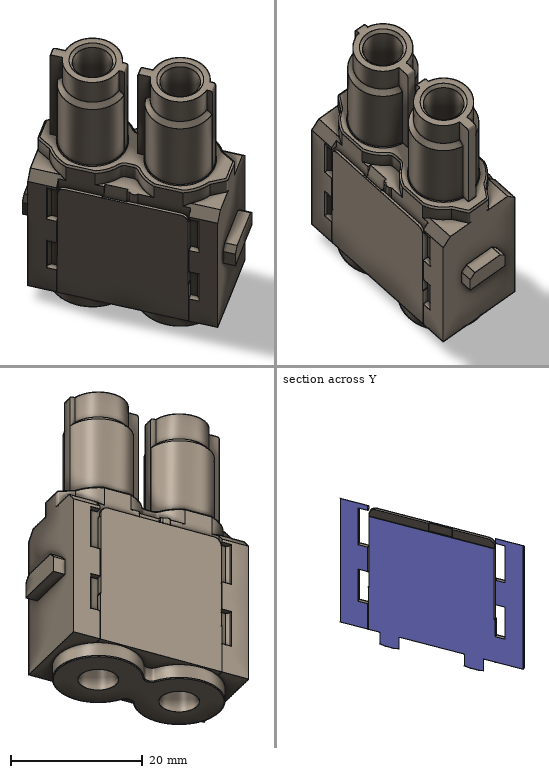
import cadquery as cq
import math

BODY_LENGTH = 30.25
BODY_DEPTH = 14.6
BODY_BOTTOM = 2.4
LEDGE_Z = 27.55
EDGE_SLOPE_DEPTH = 1.45
EDGE_SLOPE_HEIGHT = 1.55
SHOULDER_Z = LEDGE_Z - EDGE_SLOPE_HEIGHT

TUBE_PITCH = 13.95
TUBE_OFFSET = TUBE_PITCH / 2
TOP_Z = 48.3
TUBE_DIAMETER = 10.75
NOSE_DIAMETER = 9.2
NOSE_BOTTOM = 43.85
NOSE_STEP = (TUBE_DIAMETER - NOSE_DIAMETER) / 2
TUBE_FOOT = 0.15
BORE_DIAMETER = 6.2
BORE_CHAMFER = 0.5
LONG_KEY_REACH = 6.55
LONG_KEY_WIDTH = 1.5
SHORT_KEY_WIDTH = 1.8
KEY_ROUND = 0.5

COLLAR_TOP = 30.35
COLLAR_DIAMETER = 13.48
COLLAR_RADIUS = COLLAR_DIAMETER / 2
COLLAR_HALF_DEPTH = 6.35
COLLAR_EDGE = 0.3
WAIST_ROUND = 1.2
WAIST_HALF_FLAT = 0.55
NECK_X = 12.75
END_HALF_WIDTH = 2.0
END_ROUND = 0.6

BARREL_RADIUS = 7.0
BARREL_EDGE = 0.15

RECESS_HALF_LENGTH = 10.55
PANEL_HALF_LENGTH = 10.4
PANEL_FOOT_HALF_LENGTH = 10.5
PANEL_FOOT_TOP = 10.65
PANEL_CORNER = 1.2
PANEL_LIP = 0.45
GROOVE_DEPTH = 1.55

WINDOW_SPANS = ((7.45, 13.55), (18.4, 25.45))
WINDOW_OUTER_X = 12.1
WINDOW_BEVEL = 0.5

RAMP_START_X = -3.25
RAMP_END_X = 0.4
RAMP_DEPTH = 0.5
RAMP_CLEARANCE = 0.15
PIN_DIAMETER = 1.7
PIN_X = 1.5
PIN_INSET = 0.55

LUG_REACH = 2.0
LUG_BOTTOM = 14.05
LUG_TOP = 17.65
LEFT_LUG_WIDTH = 7.1
RIGHT_LUG_WIDTH = 9.0
LUG_CHAMFER = 0.95

HALF_LENGTH = BODY_LENGTH / 2
HALF_DEPTH = BODY_DEPTH / 2
GROOVE_BOTTOM = SHOULDER_Z - GROOVE_DEPTH
PANEL_BACK = HALF_DEPTH - PANEL_LIP


def span_box(x_span, y_span, z_span):
    """Box given by its limits along each axis."""
    sizes = [high - low for low, high in (x_span, y_span, z_span)]
    corner = (x_span[0], y_span[0], z_span[0])
    return cq.Workplane("XY").box(*sizes, centered=False).translate(corner)


def on_both_faces(feature):
    """The feature together with its copy turned half a turn about Z."""
    return feature.union(feature.rotate((0, 0, 0), (0, 0, 1), 180))


def twin_rounds(radius, bottom, top, waist_half_flat):
    """Two cylinders on the tube axes, joined by a waist with concave rounds."""
    center_y = math.sqrt((radius + WAIST_ROUND) ** 2 - (TUBE_OFFSET - waist_half_flat) ** 2)
    waist_y = center_y - WAIST_ROUND
    share = radius / (radius + WAIST_ROUND)
    tangent_x = TUBE_OFFSET - (TUBE_OFFSET - waist_half_flat) * share
    tangent_y = center_y * share
    start_angle = math.atan2(tangent_y - center_y, tangent_x - waist_half_flat)
    middle_angle = (start_angle - math.pi / 2) / 2
    middle_x = waist_half_flat + WAIST_ROUND * math.cos(middle_angle)
    middle_y = center_y + WAIST_ROUND * math.sin(middle_angle)

    outline = cq.Workplane("XY", origin=(0, 0, bottom)).moveTo(tangent_x, -tangent_y)
    for side in (1, -1):
        outline = outline.lineTo(side * tangent_x, side * tangent_y)
        outline = outline.threePointArc(
            (side * middle_x, side * middle_y), (side * waist_half_flat, side * waist_y)
        )
        if waist_half_flat > 0:
            outline = outline.lineTo(-side * waist_half_flat, side * waist_y)
        outline = outline.threePointArc(
            (-side * middle_x, side * middle_y), (-side * tangent_x, side * tangent_y)
        )
    waist = outline.close().extrude(top - bottom)
    rounds = waist
    for axis_x in (-TUBE_OFFSET, TUBE_OFFSET):
        cylinder = cq.Workplane("XY", origin=(axis_x, 0, bottom)).circle(radius).extrude(top - bottom)
        rounds = rounds.union(cylinder)
    return rounds


def make_block():
    profile = [
        (-HALF_DEPTH, BODY_BOTTOM),
        (HALF_DEPTH, BODY_BOTTOM),
        (HALF_DEPTH, SHOULDER_Z),
        (HALF_DEPTH - EDGE_SLOPE_DEPTH, LEDGE_Z),
        (-HALF_DEPTH + EDGE_SLOPE_DEPTH, LEDGE_Z),
        (-HALF_DEPTH, SHOULDER_Z),
    ]
    return cq.Workplane("YZ").polyline(profile).close().extrude(HALF_LENGTH, both=True)


def make_collar_tip(side):
    """Tapered end of the collar, from a tube axis to the end face of the block."""
    neck_y = math.sqrt(COLLAR_RADIUS ** 2 - (NECK_X - TUBE_OFFSET) ** 2)
    tip = (
        cq.Workplane("XY", origin=(0, 0, SHOULDER_Z))
        .polyline([
            (side * TUBE_OFFSET, -neck_y),
            (side * NECK_X, -neck_y),
            (side * HALF_LENGTH, -END_HALF_WIDTH),
            (side * HALF_LENGTH, END_HALF_WIDTH),
            (side * NECK_X, neck_y),
            (side * TUBE_OFFSET, neck_y),
        ])
        .close()
        .extrude(COLLAR_TOP - SHOULDER_Z)
    )
    end_edges = "|Z and >X" if side > 0 else "|Z and <X"
    return tip.edges(end_edges).fillet(END_ROUND)


def make_collar():
    """Waisted collar with tapered ends, cut flat at the front and back."""
    collar = twin_rounds(COLLAR_RADIUS, SHOULDER_Z, COLLAR_TOP, WAIST_HALF_FLAT)
    for side in (-1, 1):
        collar = collar.union(make_collar_tip(side))
    flats = (-COLLAR_HALF_DEPTH, COLLAR_HALF_DEPTH)
    collar = collar.intersect(span_box((-HALF_LENGTH, HALF_LENGTH), flats, (SHOULDER_Z, COLLAR_TOP)))
    return collar.faces(">Z").chamfer(COLLAR_EDGE)


def make_collar_base():
    """Straight-walled foot that carries the collar flats down behind the panels."""
    flat_end_x = TUBE_OFFSET + math.sqrt(COLLAR_RADIUS ** 2 - COLLAR_HALF_DEPTH ** 2)
    flats = (-COLLAR_HALF_DEPTH, COLLAR_HALF_DEPTH)
    return span_box((-flat_end_x, flat_end_x), flats, (BODY_BOTTOM, LEDGE_Z))


def make_tube():
    """Stepped tube on the Z axis, with a long key at -X and a short one at +X."""
    tube_radius = TUBE_DIAMETER / 2
    nose_radius = NOSE_DIAMETER / 2
    tube = (
        cq.Workplane("XZ")
        .polyline([
            (0, BODY_BOTTOM),
            (nose_radius, BODY_BOTTOM),
            (nose_radius, COLLAR_TOP),
            (tube_radius + TUBE_FOOT, COLLAR_TOP),
            (tube_radius, COLLAR_TOP + TUBE_FOOT),
            (tube_radius, NOSE_BOTTOM - NOSE_STEP),
            (nose_radius, NOSE_BOTTOM),
            (nose_radius, TOP_Z),
            (0, TOP_Z),
        ])
        .close()
        .revolve(360, (0, 0, 0), (0, 1, 0))
    )
    long_key = span_box(
        (-LONG_KEY_REACH, 0), (-LONG_KEY_WIDTH / 2, LONG_KEY_WIDTH / 2), (SHOULDER_Z, TOP_Z)
    ).edges("<X and >Z").fillet(KEY_ROUND)
    short_key = span_box(
        (0, tube_radius), (-SHORT_KEY_WIDTH / 2, SHORT_KEY_WIDTH / 2), (SHOULDER_Z, TOP_Z)
    ).edges(">X and >Z").fillet(KEY_ROUND)
    return tube.union(long_key).union(short_key)


def make_bore():
    """Through bore on the Z axis with a chamfered mouth."""
    bore_radius = BORE_DIAMETER / 2
    return (
        cq.Workplane("XZ")
        .polyline([
            (0, 0),
            (bore_radius, 0),
            (bore_radius, TOP_Z - BORE_CHAMFER),
            (bore_radius + BORE_CHAMFER, TOP_Z),
            (0, TOP_Z),
        ])
        .close()
        .revolve(360, (0, 0, 0), (0, 1, 0))
    )


def make_panel_recess():
    """Front recess over the full height of the block."""
    return span_box(
        (-RECESS_HALF_LENGTH, RECESS_HALF_LENGTH),
        (-HALF_DEPTH, -COLLAR_HALF_DEPTH),
        (BODY_BOTTOM, LEDGE_Z),
    )


def make_panel():
    """Front panel with a slightly longer foot, and a groove behind its top edge."""
    panel_x = (-PANEL_HALF_LENGTH, PANEL_HALF_LENGTH)
    panel_y = (-HALF_DEPTH, -COLLAR_HALF_DEPTH)
    foot_x = (-PANEL_FOOT_HALF_LENGTH, PANEL_FOOT_HALF_LENGTH)
    panel = span_box(panel_x, panel_y, (BODY_BOTTOM, SHOULDER_Z))
    panel = panel.edges("|Y and >Z").fillet(PANEL_CORNER)
    groove = span_box(panel_x, (-PANEL_BACK, -COLLAR_HALF_DEPTH), (GROOVE_BOTTOM, SHOULDER_Z))
    clearance = span_box(
        (RAMP_START_X - RAMP_CLEARANCE, RAMP_END_X + RAMP_CLEARANCE),
        (-PANEL_BACK - RAMP_CLEARANCE, -COLLAR_HALF_DEPTH),
        (GROOVE_BOTTOM, SHOULDER_Z),
    )
    foot = span_box(foot_x, panel_y, (BODY_BOTTOM, PANEL_FOOT_TOP))
    return panel.cut(groove).cut(clearance).union(foot)


def make_windows():
    """Windows beside the front panel; their outer walls are beveled at the floor."""
    windows = cq.Workplane("XY")
    for bottom, top in WINDOW_SPANS:
        for side in (-1, 1):
            window = (
                cq.Workplane("XY", origin=(0, 0, bottom))
                .polyline([
                    (side * PANEL_HALF_LENGTH, -HALF_DEPTH),
                    (side * WINDOW_OUTER_X, -HALF_DEPTH),
                    (side * WINDOW_OUTER_X, -COLLAR_HALF_DEPTH - WINDOW_BEVEL),
                    (side * (WINDOW_OUTER_X - WINDOW_BEVEL), -COLLAR_HALF_DEPTH),
                    (side * PANEL_HALF_LENGTH, -COLLAR_HALF_DEPTH),
                ])
                .close()
                .extrude(top - bottom)
            )
            windows = windows.add(window)
    return windows.combine()


def make_ramp_part(wall_offset, end_z):
    """Triangular prism between the collar wall and the ramp slope, from the shoulder to end_z."""
    return (
        cq.Workplane("YZ", origin=(RAMP_START_X, 0, 0))
        .polyline([
            (-COLLAR_HALF_DEPTH, SHOULDER_Z),
            (-COLLAR_HALF_DEPTH, end_z),
            (-COLLAR_HALF_DEPTH + wall_offset, end_z),
        ])
        .close()
        .extrude(RAMP_END_X - RAMP_START_X)
    )


def make_ramp_cut():
    """Upper ramp, sunk into the front edge of the waist ledge."""
    return make_ramp_part(RAMP_DEPTH, LEDGE_Z)


def make_ramp_foot():
    """Lower ramp, standing out from the collar wall inside the panel groove."""
    return make_ramp_part(-RAMP_DEPTH * GROOVE_DEPTH / EDGE_SLOPE_HEIGHT, GROOVE_BOTTOM)


def make_pin():
    """Half-buried upright pin on the collar wall."""
    return (
        cq.Workplane("XY", origin=(PIN_X, -COLLAR_HALF_DEPTH + PIN_INSET, GROOVE_BOTTOM))
        .circle(PIN_DIAMETER / 2)
        .extrude(LEDGE_Z - GROOVE_BOTTOM)
    )


def make_lug(side, width):
    lug_x = sorted((side * HALF_LENGTH, side * (HALF_LENGTH + LUG_REACH)))
    lug = span_box(lug_x, (-width / 2, width / 2), (LUG_BOTTOM, LUG_TOP))
    return lug.edges("|X and >Z").chamfer(LUG_CHAMFER)


result = make_block()
result = result.cut(on_both_faces(make_panel_recess()))
result = result.union(make_collar_base())
result = result.cut(on_both_faces(make_ramp_cut()))
result = result.union(make_collar())
result = result.union(on_both_faces(make_pin()))

result = result.cut(on_both_faces(make_windows()))
result = result.union(on_both_faces(make_panel()))
result = result.union(on_both_faces(make_ramp_foot()))

result = result.union(make_lug(-1, LEFT_LUG_WIDTH))
result = result.union(make_lug(1, RIGHT_LUG_WIDTH))
barrels = twin_rounds(BARREL_RADIUS, 0, BODY_BOTTOM, 0)
result = result.union(barrels.faces("<Z").chamfer(BARREL_EDGE))

for tube_x in (-TUBE_OFFSET, TUBE_OFFSET):
    result = result.union(make_tube().translate((tube_x, 0, 0)))
for tube_x in (-TUBE_OFFSET, TUBE_OFFSET):
    result = result.cut(make_bore().translate((tube_x, 0, 0)))